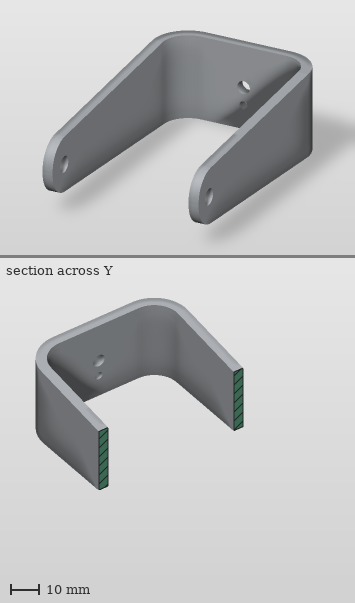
import cadquery as cq

width = 62.0
height = 32.5
length = 98.5
thickness = 4.0
inner_bend_radius = 9.9
outer_bend_radius = inner_bend_radius + thickness

right_arm_shortfall = 1.0
left_tip_half_height = 10.1
right_tip_half_height = 10.2
tip_corner_radius = 10.0

pivot_diameter = 6.3
pivot_from_left_tip = 8.9
web_hole_diameter = 5.0
small_hole_diameter = 3.2
small_hole_drop = 7.0

half_width = width / 2
half_height = height / 2
bend_start_y = length - outer_bend_radius


def upright_block(block_width, block_length, bend_radius):
    """Full-height block starting at Y = 0, with its two back edges rounded."""
    block = cq.Workplane("XY").box(block_width, block_length, height, centered=(True, False, True))
    return block.edges("|Z and >Y").fillet(bend_radius)


def arm_profile(x_start, tip_y, tip_half_height):
    """Half-width side profile: tapered, with rounded corners at the tip."""
    profile = (
        cq.Workplane("YZ", origin=(x_start, 0, 0))
        .polyline([
            (tip_y, -tip_half_height),
            (bend_start_y, -half_height),
            (length, -half_height),
            (length, half_height),
            (bend_start_y, half_height),
            (tip_y, tip_half_height),
        ])
        .close()
        .extrude(half_width)
    )
    return profile.edges("|X and <Y").fillet(tip_corner_radius)


def web_hole(diameter, z):
    """Cutter along Y through the middle of the web."""
    return cq.Workplane("XZ", origin=(0, 0, z)).circle(diameter / 2).extrude(-length)


strip = upright_block(width, length, outer_bend_radius).cut(
    upright_block(width - 2 * thickness, length - thickness, inner_bend_radius)
)

left_profile = arm_profile(-half_width, 0, left_tip_half_height)
right_profile = arm_profile(0, right_arm_shortfall, right_tip_half_height)
bracket = strip.intersect(left_profile.union(right_profile))

pivot_hole = (
    cq.Workplane("YZ", origin=(-half_width, 0, 0))
    .center(pivot_from_left_tip, 0)
    .circle(pivot_diameter / 2)
    .extrude(width)
)
bracket = bracket.cut(pivot_hole)

bracket = bracket.cut(web_hole(web_hole_diameter, 0))
result = bracket.cut(web_hole(small_hole_diameter, -small_hole_drop)).clean()